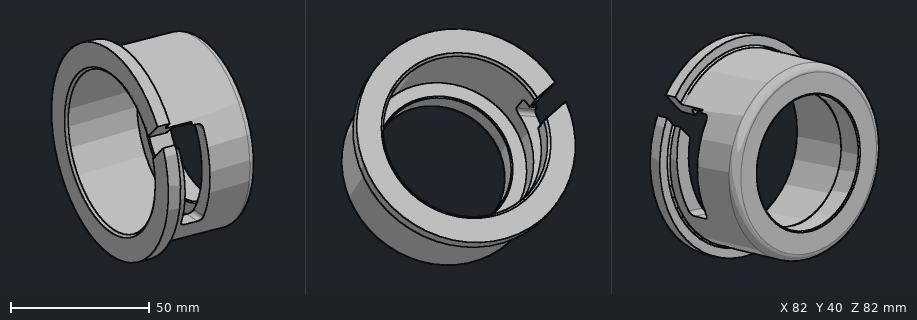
import cadquery as cq
import math

length = 40.0
flange_radius = 41.0
flange_thickness = 5.2
body_radius = 36.6
end_fillet = 3.0
base_fillet = 0.7

bore_radius = 30.75
mouth_chamfer = 1.0
lip_radius = 25.1
lip_thickness = 10.1
lip_chamfer = 0.5

entry_angle = 45.0
entry_width = 7.7
entry_offset = 10.7
entry_depth = 16.2

window_half_height = 19.4
window_far = 20.25
window_near = 9.6
window_slope = 4.0
window_fillet = 2.0


def make_sleeve():
    """Revolve the wall section, given as (radius, Y), about the Y axis."""
    lip_start = length - lip_thickness
    fillet_mid = end_fillet * (1 - math.sqrt(0.5))
    base_mid = base_fillet * (1 - math.sqrt(0.5))
    return (
        cq.Workplane("ZY")
        .moveTo(bore_radius + mouth_chamfer, 0)
        .lineTo(flange_radius, 0)
        .lineTo(flange_radius, flange_thickness)
        .lineTo(body_radius + base_fillet, flange_thickness)
        .threePointArc(
            (body_radius + base_mid, flange_thickness + base_mid),
            (body_radius, flange_thickness + base_fillet),
        )
        .lineTo(body_radius, length - end_fillet)
        .threePointArc(
            (body_radius - fillet_mid, length - fillet_mid),
            (body_radius - end_fillet, length),
        )
        .lineTo(lip_radius + lip_chamfer, length)
        .lineTo(lip_radius, length - lip_chamfer)
        .lineTo(lip_radius, lip_start + lip_chamfer)
        .lineTo(lip_radius + lip_chamfer, lip_start)
        .lineTo(bore_radius, lip_start)
        .lineTo(bore_radius, mouth_chamfer)
        .close()
        .revolve(360, (0, 0, 0), (0, 1, 0))
    )


def make_entry():
    """Channel running outward from the bore, open at the flange face."""
    return (
        cq.Workplane("XY")
        .box(flange_radius * 2, entry_depth, entry_width, centered=(False, False, True))
        .translate((0, 0, -entry_offset))
        .rotate((0, 0, 0), (0, 1, 0), -entry_angle)
    )


def make_window():
    """Round-cornered window cut outward along X; its near edge is a ramp."""
    rise = window_half_height * math.tan(math.radians(window_slope))
    return (
        cq.Workplane("YZ")
        .polyline([
            (window_near + rise, -window_half_height),
            (window_far, -window_half_height),
            (window_far, window_half_height),
            (window_near - rise, window_half_height),
        ])
        .close()
        .extrude(flange_radius)
        .edges("|X")
        .fillet(window_fillet)
    )


result = make_sleeve().cut(make_entry()).cut(make_window())